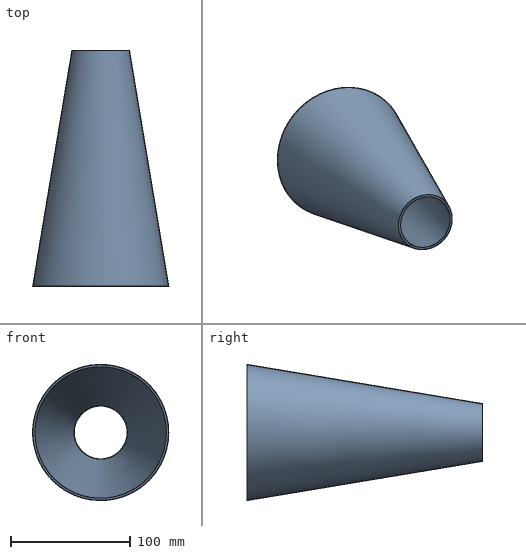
import cadquery as cq

length = 198.0
large_diameter = 114.2
small_diameter = 48.3
wall = 2.0

large_radius = large_diameter / 2
small_radius = small_diameter / 2

wall_section = (
    cq.Workplane("XY")
    .moveTo(large_radius - wall, 0)
    .lineTo(large_radius, 0)
    .lineTo(small_radius, length)
    .lineTo(small_radius - wall, length)
    .close()
)

result = wall_section.revolve(360, (0, 0, 0), (0, 1, 0))